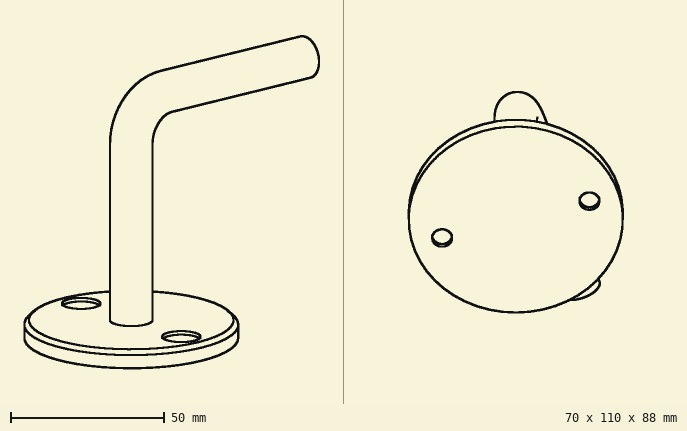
import cadquery as cq

overall_length = 110.0
overall_height = 88.0

plate_diameter = 70.0
plate_thickness = 6.0
plate_chamfer = 1.5

screw_spacing = 50.0
screw_hole_diameter = 6.5
countersink_diameter = 12.5
countersink_angle = 90.0
countersink_recess = 1.2

rod_diameter = 14.0
bend_radius = 15.0

rod_axis_height = overall_height - rod_diameter / 2
rod_tip_y = overall_length - plate_diameter / 2
cone_top_height = plate_thickness - countersink_recess
screw_centres = [(-screw_spacing / 2, 0), (screw_spacing / 2, 0)]


def make_plate():
    """Round wall plate with a chamfered top rim and two recessed countersunk screw holes."""
    disc = (
        cq.Workplane("XY")
        .circle(plate_diameter / 2)
        .extrude(plate_thickness)
        .faces(">Z")
        .edges()
        .chamfer(plate_chamfer)
    )
    recesses = (
        cq.Workplane("XY", origin=(0, 0, cone_top_height))
        .pushPoints(screw_centres)
        .circle(countersink_diameter / 2)
        .extrude(countersink_recess)
    )
    return (
        disc.cut(recesses)
        .copyWorkplane(cq.Workplane("XY", origin=(0, 0, cone_top_height)))
        .pushPoints(screw_centres)
        .cskHole(screw_hole_diameter, countersink_diameter, countersink_angle)
        .solids()
    )


def make_rod():
    """Round rod that stands on the plate and bends a quarter turn toward +Y."""
    centreline = (
        cq.Workplane("YZ")
        .moveTo(0, plate_thickness)
        .lineTo(0, rod_axis_height - bend_radius)
        .tangentArcPoint((bend_radius, rod_axis_height), relative=False)
        .lineTo(rod_tip_y, rod_axis_height)
    )
    return (
        cq.Workplane("XY", origin=(0, 0, plate_thickness))
        .circle(rod_diameter / 2)
        .sweep(centreline)
    )


plate = make_plate()
rod = make_rod()

result = cq.Compound.makeCompound([plate.val(), rod.val()])